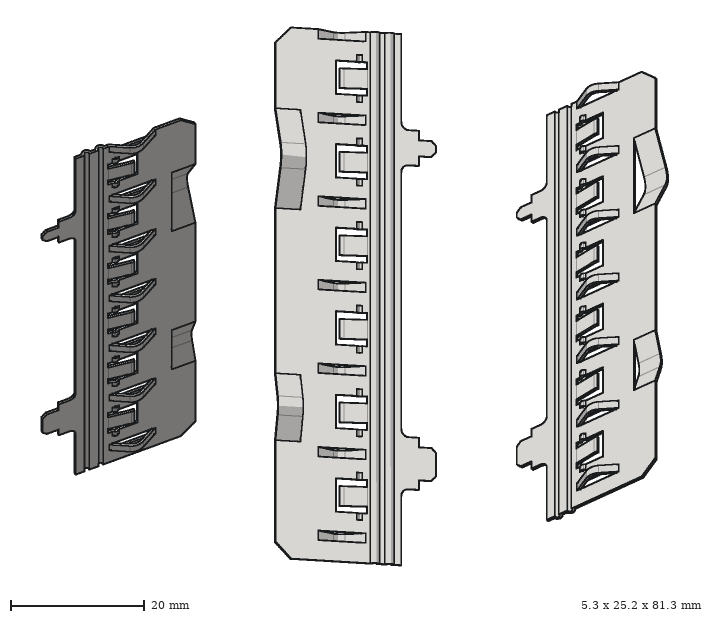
import cadquery as cq
import math

LENGTH = 81.3
WIDTH = 19.75
THICKNESS = 0.4
CORNER_CHAMFER = 2.4

RIB_CENTERS_Y = (1.9, 4.15)
RIB_HALF_WIDTH = 0.7
RIB_HEIGHT = 0.5

TABS = ((64.0, 2.7, 1.2), (15.7, 4.0, 2.5))
TAB_LENGTH = 5.45
TAB_ROOT_LENGTH = 2.8
TAB_ROOT_FILLET = 1.1
TAB_TIP_CHAMFER = 0.7

SPRINGS = ((61.1, 7.6, 3.1, 25.0), (23.1, 5.1, 1.5, 18.5))
SPRING_WIDTH = 3.9

BRIDGE_COUNT = 7
BRIDGE_HEIGHT_Z = 1.5
BRIDGE_BOTTOM_Z = 3.1
BRIDGE_PITCH = (LENGTH - BRIDGE_HEIGHT_Z - BRIDGE_BOTTOM_Z) / (BRIDGE_COUNT - 1)
BRIDGE_CENTER_Y = 9.35
BRIDGE_HALF_SPAN = 3.8
BRIDGE_RISE = 1.8
BRIDGE_SLOPE = 29.0

WINDOW_Y = (5.4, 10.25)
WINDOW_HEIGHT = 5.1
WINDOW_OFFSET_Z = 6.3
TONGUE_TIP_Y = 9.5
TONGUE_BEND_Y = 8.95
TONGUE_HEIGHT = 3.0
TONGUE_LIFT = 0.5

BUMP_CENTER_Y = 6.6
BUMP_HALF_SPAN = 0.6
BUMP_HEIGHT_Z = 1.05
BUMP_RISE = 0.25
BUMP_SLOPE = 29.0


def sheet_box(y_min, y_max, z_min, z_max):
    """Block through the sheet thickness over the given Y and Z ranges."""
    size = (THICKNESS, y_max - y_min, z_max - z_min)
    return cq.Workplane("XY").box(*size, centered=False).translate((0, y_min, z_min))


def bowed_strip(half_span, rise, slope, strip_width):
    """Strip of sheet bowed toward +X: two straight legs and a tangent round crown.

    The span runs along Y about Y = 0, the strip width along Z from Z = 0.
    """
    angle = math.radians(slope)
    half_arc = (half_span * math.tan(angle) - rise) / (math.tan(angle) - math.tan(angle / 2))
    outer_radius = half_arc / math.sin(angle)
    inner_radius = outer_radius - THICKNESS
    center_x = THICKNESS + rise - outer_radius
    outer_x = center_x + outer_radius * math.cos(angle)
    inner_x = center_x + inner_radius * math.cos(angle)
    inner_half_arc = inner_radius * math.sin(angle)
    inner_half_span = half_span - THICKNESS * math.tan(angle / 2)
    return (
        cq.Workplane("XY")
        .moveTo(0, half_span)
        .lineTo(THICKNESS, half_span)
        .lineTo(outer_x, half_arc)
        .threePointArc((THICKNESS + rise, 0), (outer_x, -half_arc))
        .lineTo(THICKNESS, -half_span)
        .lineTo(0, -half_span)
        .lineTo(0, -inner_half_span)
        .lineTo(inner_x, -inner_half_arc)
        .threePointArc((center_x + inner_radius, 0), (inner_x, inner_half_arc))
        .lineTo(0, inner_half_span)
        .close()
        .extrude(strip_width)
    )


def make_sheet():
    sheet = sheet_box(0, WIDTH, 0, LENGTH)
    return sheet.edges("|X and >Y").chamfer(CORNER_CHAMFER)


def add_ribs(body):
    outer_radius = (RIB_HALF_WIDTH**2 + RIB_HEIGHT**2) / (2 * RIB_HEIGHT)
    center_x = outer_radius - RIB_HEIGHT
    for center_y in RIB_CENTERS_Y:
        axis = cq.Workplane("XY").center(center_x, center_y)
        crest = axis.circle(outer_radius).extrude(LENGTH)
        rib_envelope = cq.Workplane("XY").box(
            RIB_HEIGHT + THICKNESS, 2 * outer_radius, LENGTH, centered=(False, True, False)
        ).translate((-RIB_HEIGHT, center_y, 0))
        groove = axis.circle(outer_radius - THICKNESS).extrude(LENGTH)
        body = body.union(crest.intersect(rib_envelope)).cut(groove)
    return body


def make_tab(center_z, root_half, tip_half):
    tab = sheet_box(-TAB_ROOT_LENGTH, 0, center_z - root_half, center_z + root_half)
    tip = sheet_box(-TAB_LENGTH, 0, center_z - tip_half, center_z + tip_half)
    tab = tab.union(tip.edges("|X and <Y").chamfer(TAB_TIP_CHAMFER))
    radius = TAB_ROOT_FILLET
    mid_arc = radius * (1 - math.sqrt(0.5))
    for side in (-1, 1):
        edge_z = center_z + side * root_half
        corner = (
            cq.Workplane("YZ")
            .moveTo(0, edge_z)
            .lineTo(-radius, edge_z)
            .threePointArc((-mid_arc, edge_z + side * mid_arc), (0, edge_z + side * radius))
            .close()
            .extrude(THICKNESS)
        )
        tab = tab.union(corner)
    return tab


def add_springs(body):
    for center_z, half_span, rise, slope in SPRINGS:
        window = sheet_box(WIDTH - SPRING_WIDTH, WIDTH, center_z - half_span, center_z + half_span)
        spring = (
            bowed_strip(half_span, rise, slope, SPRING_WIDTH)
            .rotate((0, 0, 0), (1, 0, 0), 90)
            .rotate((0, 0, 0), (0, 0, 1), 180)
            .translate((THICKNESS, WIDTH - SPRING_WIDTH, center_z))
        )
        body = body.cut(window).union(spring)
    return body


def add_bow(body, center_y, bottom_z, half_span, rise, slope, strip_width):
    """Replace a slot of sheet with a strip bowed toward +X."""
    slot = sheet_box(center_y - half_span, center_y + half_span, bottom_z, bottom_z + strip_width)
    strip = bowed_strip(half_span, rise, slope, strip_width)
    return body.cut(slot).union(strip.translate((0, center_y, bottom_z)))


def make_tongue(center_z):
    """Tongue hinged at the window edge, sloping toward +X, with a flat tip."""
    hinge_y = WINDOW_Y[0]
    return (
        cq.Workplane("XY")
        .polyline([
            (0, hinge_y),
            (TONGUE_LIFT, TONGUE_BEND_Y),
            (TONGUE_LIFT, TONGUE_TIP_Y),
            (TONGUE_LIFT + THICKNESS, TONGUE_TIP_Y),
            (TONGUE_LIFT + THICKNESS, TONGUE_BEND_Y),
            (THICKNESS, hinge_y),
        ])
        .close()
        .extrude(TONGUE_HEIGHT)
        .translate((0, 0, center_z - TONGUE_HEIGHT / 2))
    )


def add_latch(body, center_z):
    window_bottom = center_z - WINDOW_HEIGHT / 2
    window_top = center_z + WINDOW_HEIGHT / 2
    body = body.cut(sheet_box(*WINDOW_Y, window_bottom, window_top))
    body = body.union(make_tongue(center_z))
    for bump_bottom in (window_bottom - BUMP_HEIGHT_Z, window_top):
        body = add_bow(
            body, BUMP_CENTER_Y, bump_bottom, BUMP_HALF_SPAN, BUMP_RISE, BUMP_SLOPE, BUMP_HEIGHT_Z
        )
    return body


result = add_ribs(make_sheet())
for tab_size in TABS:
    result = result.union(make_tab(*tab_size))
result = add_springs(result)
for index in range(BRIDGE_COUNT):
    bridge_bottom = BRIDGE_BOTTOM_Z + index * BRIDGE_PITCH
    result = add_bow(
        result, BRIDGE_CENTER_Y, bridge_bottom,
        BRIDGE_HALF_SPAN, BRIDGE_RISE, BRIDGE_SLOPE, BRIDGE_HEIGHT_Z,
    )
    if index < BRIDGE_COUNT - 1:
        result = add_latch(result, bridge_bottom + BRIDGE_HEIGHT_Z / 2 + WINDOW_OFFSET_Z)